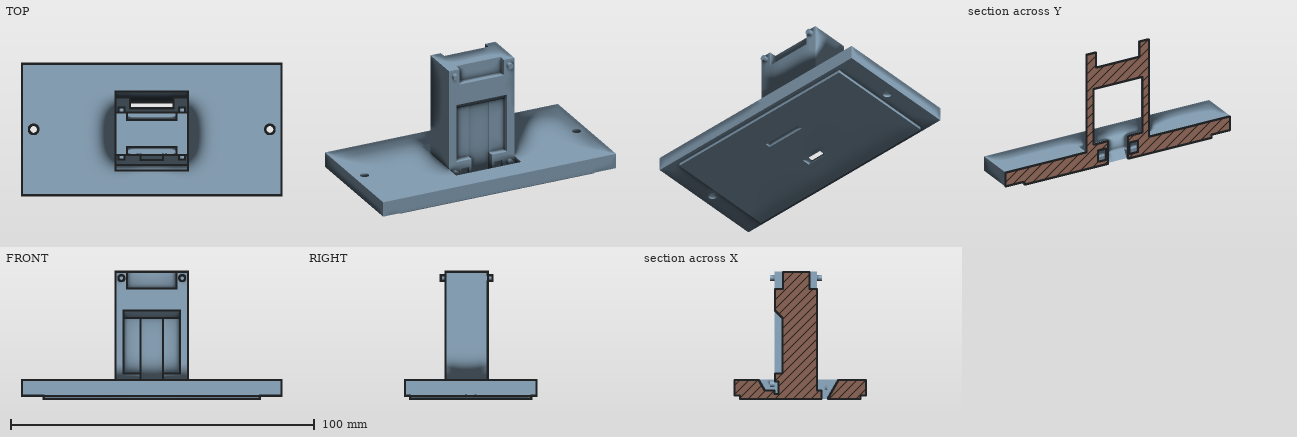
import cadquery as cq

plate_length = 85.5
plate_width = 43.35
plate_thickness = 5.2
pad_length = 71.2
pad_width = 39.85
pad_thickness = 1.1
plate_top = pad_thickness + plate_thickness
screw_hole_diameter = 3.0
screw_hole_x = 38.9

total_height = 42.0
block_width = 23.9
block_front = -8.4
block_back = 5.65

opening_front = -13.6
opening_back = 12.5
wall_run = 3.6
wall_slope = wall_run / plate_top
ledge_top = 2.9
back_notch_width = 14.2
back_notch_start = 7.0

recess_width = 16.25
recess_height = 5.6
front_recess_depth = 2.65
back_recess_depth = 2.5

pocket_width = 18.5
pocket_depth = 2.5
pocket_bottom = 8.5
pocket_top = 29.15
channel_width = 7.4
channel_depth = 2.7
channel_front = -10.0

pin_diameter = 2.0
pin_length = 1.5
pin_x = 10.0
upper_pin_z = total_height - 2.1
lower_pin_z = 4.9
window_center_x = 6.1
window_width = 2.9
window_height = 2.8
window_depth = 1.1


def box(width, front, back, bottom, top, center_x=0.0):
    """Box centred on center_x that spans the given Y and Z ranges."""
    solid = cq.Workplane("XY").box(width, back - front, top - bottom, centered=(True, False, False))
    return solid.translate((center_x, front, bottom))


def prism(width, profile):
    """Extrude a closed (Y, Z) profile along X, centred on X = 0."""
    return cq.Workplane("YZ").polyline(profile).close().extrude(width / 2, both=True)


def make_opening(top):
    """Tapered opening volume from the underside up to the given height."""
    front_bottom = opening_front + wall_run
    back_bottom = opening_back - wall_run
    return prism(
        block_width,
        [
            (front_bottom, 0),
            (back_bottom, 0),
            (back_bottom + wall_slope * top, top),
            (front_bottom - wall_slope * top, top),
        ],
    )


def make_base():
    pad = box(pad_length, -pad_width / 2, pad_width / 2, 0, pad_thickness)
    plate = box(plate_length, -plate_width / 2, plate_width / 2, pad_thickness, plate_top)
    holes = (
        cq.Workplane("XY")
        .pushPoints([(-screw_hole_x, 0), (screw_hole_x, 0)])
        .circle(screw_hole_diameter / 2)
        .extrude(plate_top)
    )
    back_notch = box(back_notch_width, back_notch_start, opening_back, 0, ledge_top)
    ledge = make_opening(ledge_top).cut(back_notch)
    return pad.union(plate).cut(holes).cut(make_opening(plate_top)).union(ledge)


def make_top_recesses():
    floor = total_height - recess_height
    front = box(recess_width, block_front, block_front + front_recess_depth, floor, total_height)
    back = box(recess_width, block_back - back_recess_depth, block_back, floor, total_height)
    return front.union(back)


def make_pocket():
    pocket_wall = block_front + pocket_depth
    return prism(
        pocket_width,
        [
            (block_front, pocket_bottom),
            (pocket_wall, pocket_bottom),
            (pocket_wall, pocket_top - pocket_depth),
            (block_front, pocket_top),
        ],
    )


def make_channel():
    """Channel down to the underside; its front wall is parallel to the opening's."""
    channel_wall = block_front + channel_depth
    channel_top = pocket_top - pocket_depth
    return prism(
        channel_width,
        [
            (channel_front + wall_slope * ledge_top, 0),
            (channel_wall, 0),
            (channel_wall, channel_top),
            (block_front, channel_top),
            (block_front, ledge_top),
            (channel_front, ledge_top),
        ],
    )


def make_pin(x, z, front, back):
    pin = cq.Workplane("XZ").circle(pin_diameter / 2).extrude(front - back)
    return pin.translate((x, front, z))


block = box(block_width, block_front, block_back, 0, total_height)
result = make_base().union(block).cut(make_top_recesses()).cut(make_pocket()).cut(make_channel())

for side in (-1, 1):
    window = box(
        window_width,
        block_front,
        block_front + window_depth,
        ledge_top - window_depth,
        ledge_top + window_height,
        side * window_center_x,
    )
    result = result.cut(window)
    result = result.union(make_pin(side * pin_x, upper_pin_z, block_front - pin_length, block_front))
    result = result.union(make_pin(side * pin_x, upper_pin_z, block_back, block_back + pin_length))
    result = result.union(make_pin(side * pin_x, lower_pin_z, block_front - pin_length, block_front))